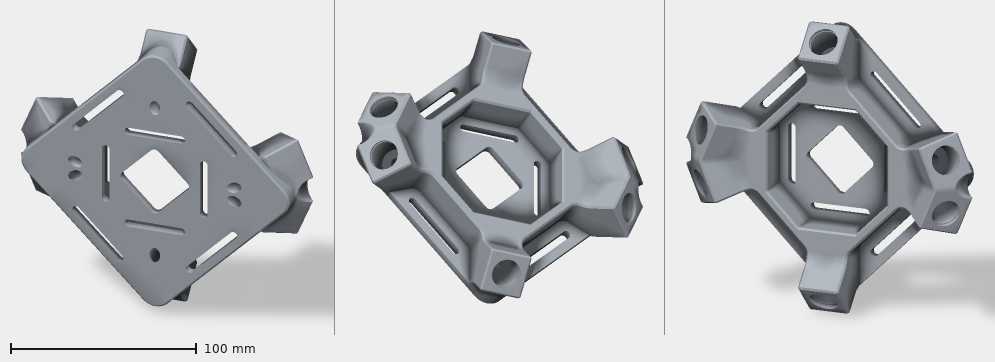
import cadquery as cq
import math

plate_half_side = 57.0
plate_corner_radius = 10.0
plate_thickness = 5.0
edge_break = 1.0

ring_half_side = 41.5
ring_wall = 5.0
ring_height = 23.6
pocket_corner_reach = 35.0

arm_width = 23.6
arm_depth = 24.0
arm_length = 40.1
arm_root_radius = 6.0
arm_top_radius = 10.0
end_arm_offset = 44.8
side_arm_x = 45.3
side_arm_z = 4.2
side_arm_angle = 22.5

relief_diameter = 14.0
relief_distance = 84.3
relief_break = 0.5
ridge_radius = 6.0

bore_diameter = 16.0
bore_depth = 20.0
groove_diameter = 16.8
groove_start = 1.5
groove_width = 1.2
pilot_diameter = 6.0

window_half_side = 14.7
window_corner_radius = 3.0
slot_width = 4.3
inner_slot_length = 34.3
inner_slot_distance = 28.0
outer_slot_length = 39.6
outer_slot_shift = 3.7
outer_slot_distance = 49.5

stock_height = 50.0
stock_reach = 66.6
stock_width = 66.6
stock_inset = 36.6
beyond_part = 333.0

lean = math.sqrt(0.5)
half_across = arm_depth / 2 * lean
axis_rise = arm_length * lean
pocket_half_side = ring_half_side - ring_wall

column_height = 16.7

near = 0.01


def front_plane(turned_by=0):
    return cq.Workplane("XZ").transformed(rotate=(0, 0, turned_by))


def diamond_prism(half_side, height, corner_radius=0.0):
    """Square prism from Y = 0 toward +Y, standing on one corner."""
    prism = front_plane(45).rect(2 * half_side, 2 * half_side).extrude(-height)
    if corner_radius:
        prism = prism.edges("|Y").fillet(corner_radius)
    return prism


def with_mirror(shape, plane):
    return shape.union(shape.mirror(plane))


def place_arm(shape, root_x, root_z, angle):
    """Turn a shape about Y from +X toward +Z, then move it to the arm root."""
    return shape.rotate((0, 0, 0), (0, 1, 0), -angle).translate((root_x, 0, root_z))


def end_arms(shape):
    """One copy on each end of the Z axis."""
    return with_mirror(place_arm(shape, 0, end_arm_offset, 90), "XY")


def side_arms(shape):
    """A pair at each end of the X axis, each copy trimmed where its twin begins."""
    quarter = cq.Workplane("XY").box(beyond_part, beyond_part, beyond_part, centered=(False, True, False))
    arm = place_arm(shape, side_arm_x, side_arm_z, side_arm_angle).intersect(quarter)
    return with_mirror(with_mirror(arm, "XY"), "YZ")


def arm_strip(inner_half_width):
    """Footprint of an arm; the inner half can be wider to fill up to a twin arm."""
    strip = cq.Workplane("XY").box(
        stock_inset + stock_reach, stock_height, arm_width / 2 + inner_half_width, centered=False
    )
    return strip.translate((-stock_inset, 0, -inner_half_width))


def arm_envelope():
    """Side profile of an arm: a leaning bar that flows into the flat top of the ring."""
    lower_tip = (axis_rise + half_across, axis_rise - half_across)
    upper_tip = (axis_rise - half_across, axis_rise + half_across)
    bend_x = ring_height - 2 * half_across
    half_turn = math.pi / 8
    tangent = arm_top_radius * math.tan(half_turn)
    arc_middle = (
        bend_x - tangent + arm_top_radius * math.sin(half_turn),
        ring_height + arm_top_radius * (1 - math.cos(half_turn)),
    )
    return (
        cq.Workplane("XY")
        .moveTo(-stock_reach, 0)
        .lineTo(2 * half_across, 0)
        .lineTo(*lower_tip)
        .lineTo(*upper_tip)
        .lineTo(bend_x + tangent * lean, ring_height + tangent * lean)
        .threePointArc(arc_middle, (bend_x - tangent, ring_height))
        .lineTo(-stock_reach, ring_height)
        .close()
        .extrude(stock_width / 2, both=True)
    )


def arm_bore():
    """Pilot hole through the arm, with a larger grooved bore from its tip."""
    tip = (axis_rise, axis_rise, 0)
    inward = cq.Workplane(cq.Plane(origin=tip, xDir=(0, 0, 1), normal=(-1, -1, 0)))
    pilot = inward.circle(pilot_diameter / 2).extrude(1.5 * arm_length)
    bore = inward.circle(bore_diameter / 2).extrude(bore_depth)
    groove = inward.workplane(offset=groove_start).circle(groove_diameter / 2).extrude(groove_width)
    return pilot.union(bore).union(groove)


def make_footprint():
    """Outline of ring and arms as a tall prism with rounded arm roots."""
    outline = diamond_prism(ring_half_side, stock_height)
    outline = outline.union(end_arms(arm_strip(arm_width / 2)))
    outline = outline.union(side_arms(arm_strip(1.5 * arm_width)))
    root_limit = 1.3 * ring_half_side
    roots = outline.edges("|Y").filter(lambda edge: math.hypot(edge.Center().x, edge.Center().z) < root_limit)
    return roots.fillet(arm_root_radius)


def is_ridge(edge):
    """Line in the middle plane where the tip faces of two side arms meet."""
    middle = edge.positionAt(0.5)
    on_middle_plane = abs(middle.z) < near and abs(edge.tangentAt(0.5).z) < near
    return on_middle_plane and abs(middle.x) > side_arm_x and middle.y > ring_height


def bounds_sharp_rim(face):
    """Upright walls and the leaning tip faces; their rims are broken."""
    normal = face.normalAt()
    center = face.Center()
    upright = abs(normal.y) < near
    faces_outward = normal.x * center.x + normal.z * center.z > 0
    tip = face.geomType() == "PLANE" and near < normal.y < 1 - near and faces_outward
    return upright or tip


def is_rim(edge):
    middle = edge.positionAt(0.5)
    slope = abs(edge.tangentAt(0.5).y)
    return middle.y > edge_break and slope < 1 - near and (abs(middle.z) > near or slope < near)


def on_relief(edge):
    """Edge of the round notch between two side arms."""
    middle = edge.positionAt(0.5)
    radius = math.hypot(abs(middle.x) - relief_distance, middle.z)
    return abs(radius - relief_diameter / 2) < near and abs(edge.tangentAt(0.5).y) < 1 - near


def on_column_top(edge):
    """Inner corner where a column meets the underside of an arm."""
    middle = edge.positionAt(0.5)
    x, z = abs(middle.x), abs(middle.z)
    on_side = abs((x + z) * lean - plate_half_side) < near
    corner_center = (plate_half_side - plate_corner_radius) / lean
    on_corner = abs(math.hypot(max(x, z) - corner_center, min(x, z)) - plate_corner_radius) < near
    return middle.y > edge_break and abs(edge.tangentAt(0.5).y) < 1 - near and (on_side or on_corner)


def on_pocket_mouth(edge):
    """Inner top edge of the ring."""
    middle = edge.positionAt(0.5)
    x, z = abs(middle.x), abs(middle.z)
    on_side = abs((x + z) * lean - pocket_half_side) < near
    on_cut_corner = abs(max(x, z) - pocket_corner_reach) < near
    return abs(middle.y - ring_height) < near and (on_side or on_cut_corner)


footprint = make_footprint()
envelope = end_arms(arm_envelope()).union(side_arms(arm_envelope()))
solid_frame = footprint.intersect(envelope).clean()
frame = solid_frame.edges().filter(is_ridge).fillet(ridge_radius)
relief_centers = [(relief_distance, 0), (-relief_distance, 0)]
relief = front_plane().pushPoints(relief_centers).circle(relief_diameter / 2).extrude(-stock_height)
frame = frame.cut(relief)
rims = frame.faces().filter(bounds_sharp_rim).edges().filter(is_rim)
frame = rims.filter(lambda edge: not on_relief(edge)).chamfer(edge_break)
frame = frame.edges().filter(on_relief).chamfer(relief_break)

pocket = diamond_prism(pocket_half_side, stock_height).intersect(
    front_plane().rect(2 * pocket_corner_reach, 2 * pocket_corner_reach).extrude(-stock_height)
)
frame = frame.cut(pocket)
frame = frame.edges().filter(on_pocket_mouth).chamfer(edge_break)

plate = diamond_prism(plate_half_side, plate_thickness, plate_corner_radius)
plate = plate.faces("<Y").edges().chamfer(edge_break)
core = diamond_prism(plate_half_side, column_height, plate_corner_radius).intersect(footprint)
columns = solid_frame.union(core).clean().edges().filter(on_column_top).chamfer(edge_break)
columns = columns.intersect(
    diamond_prism(plate_half_side + edge_break, column_height, plate_corner_radius + edge_break)
)
columns = columns.cut(diamond_prism(ring_half_side, column_height)).cut(relief)
trim = front_plane().rect(beyond_part, beyond_part).extrude(-plate_thickness)
body = frame.union(columns).cut(trim).union(plate)

body = body.cut(end_arms(arm_bore())).cut(side_arms(arm_bore()))

body = body.cut(diamond_prism(window_half_side, plate_thickness, window_corner_radius))
for angle in range(0, 360, 90):
    slot = front_plane(angle).center(0, inner_slot_distance).slot2D(inner_slot_length, slot_width)
    body = body.cut(slot.extrude(-plate_thickness))
    shift = outer_slot_shift if angle % 180 == 0 else -outer_slot_shift
    slot = front_plane(angle + 45).center(shift, outer_slot_distance).slot2D(outer_slot_length, slot_width)
    body = body.cut(slot.extrude(-plate_thickness))

result = body